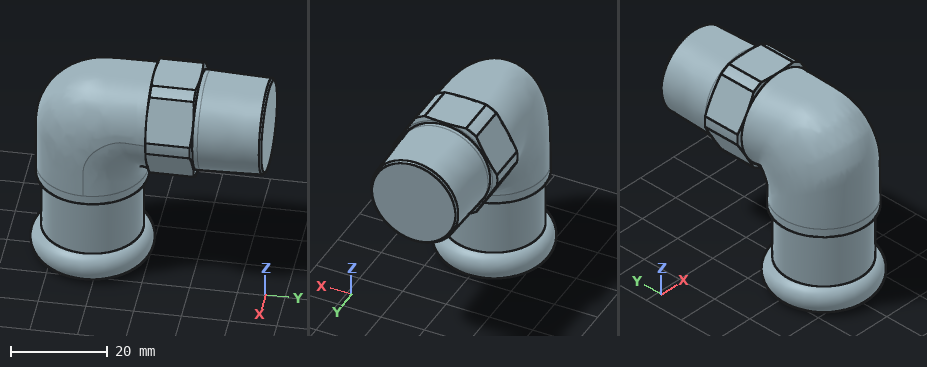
import cadquery as cq
import math


socket_radius = 21.3 / 2
bead_radius = 25.75 / 2
bead_height = 6.5
collar_radius = 23.5 / 2
collar_bottom = 19.95
collar_top = 22.0
neck_height = 0.65
neck_top_radius = 11.05

branch_height = 35.95
hex_across_flats = 22.0
hex_corner_diameter = 24.0
hex_start = 12.9
hex_end = 22.7
hex_chamfer_angle = 15.0
spigot_root_radius = 20.95 / 2
spigot_land_end = 23.75
spigot_end = 37.0
spigot_taper_per_length = 1 / 32
spigot_chamfer = 0.45

bend_outer_radius = 14.1
bend_waist_depth = 0.4
section_count = 19

hex_flat = hex_across_flats / 2
hex_corner_radius = hex_corner_diameter / 2
branch_top = branch_height + hex_flat
branch_bottom = branch_height - hex_flat


def revolve_about_branch(outline):
    """Turn an outline drawn as (radius, Y) about the branch axis."""
    return outline.close().revolve(360, (0, 0, 0), (0, 1, 0)).translate((0, 0, branch_height))


def make_socket():
    """Collar, conical neck, straight tube and rounded bead, in one revolved outline."""
    neck_bottom = collar_bottom - neck_height
    return (
        cq.Workplane("XZ")
        .lineTo(socket_radius, 0)
        .threePointArc((bead_radius, bead_height / 2), (socket_radius, bead_height))
        .lineTo(socket_radius, neck_bottom)
        .lineTo(neck_top_radius, collar_bottom)
        .lineTo(collar_radius, collar_bottom)
        .lineTo(collar_radius, collar_top)
        .lineTo(0, collar_top)
        .close()
        .revolve(360, (0, 0, 0), (0, 1, 0))
    )


def make_hexagon():
    """Hexagon with flats up and down, rounded corners and chamfered end faces."""
    across_corners = hex_across_flats / math.cos(math.pi / 6)
    prism = (
        cq.Workplane("XZ", origin=(0, hex_start, branch_height))
        .polygon(6, across_corners)
        .extrude(hex_start - hex_end)
    )
    chamfer_depth = (hex_corner_radius - hex_flat) * math.tan(math.radians(hex_chamfer_angle))
    envelope = revolve_about_branch(
        cq.Workplane("XY")
        .moveTo(0, hex_start)
        .lineTo(hex_flat, hex_start)
        .lineTo(hex_corner_radius, hex_start + chamfer_depth)
        .lineTo(hex_corner_radius, hex_end - chamfer_depth)
        .lineTo(hex_flat, hex_end)
        .lineTo(0, hex_end)
    )
    return prism.intersect(envelope)


def make_spigot():
    """Short straight land beside the hexagon, then a slightly tapered, chamfered spigot."""
    chamfer_start = spigot_end - spigot_chamfer
    tip_radius = spigot_root_radius - (chamfer_start - spigot_land_end) * spigot_taper_per_length
    return revolve_about_branch(
        cq.Workplane("XY")
        .moveTo(0, hex_end)
        .lineTo(spigot_root_radius, hex_end)
        .lineTo(spigot_root_radius, spigot_land_end)
        .lineTo(tip_radius, chamfer_start)
        .lineTo(tip_radius - spigot_chamfer, spigot_end)
        .lineTo(0, spigot_end)
    )


def bend_reach(angle):
    """Near and far distance of the bend from its pivot line.

    The pivot is where the planes of the hexagon face and the collar top meet.
    The angle runs from the hexagon face (0) to the collar top (90 degrees).
    """
    across = math.sin(angle)
    up = math.cos(angle)
    inner_gap = hex_start - collar_radius
    inner_rise = branch_bottom - collar_top
    near = inner_rise / up if inner_gap * up > inner_rise * across else inner_gap / across

    outer_width = hex_start + collar_radius
    outer_height = branch_top - collar_top
    arc_across = outer_width - bend_outer_radius
    arc_up = outer_height - bend_outer_radius
    along = arc_across * across + arc_up * up
    offset = arc_across * up - arc_up * across
    far = along + math.sqrt(max(bend_outer_radius**2 - offset**2, 0))
    if far * across < arc_across:
        far = outer_height / up
    if far * up < arc_up:
        far = outer_width / across
    return near, far


def bend_section(index):
    """Elliptical cross-section wire in a plane through the pivot line.

    The half width grows evenly from hexagon to collar, less a shallow waist in the first half.
    """
    share = index / (section_count - 1)
    angle = math.pi / 2 * share
    near, far = bend_reach(angle)
    middle = (near + far) / 2
    straight = hex_flat + (collar_radius - hex_flat) * share
    waist = bend_waist_depth * math.sin(2 * math.pi * share) ** 2 if share < 0.5 else 0
    side = straight - waist
    center = cq.Vector(0, hex_start - middle * math.sin(angle), collar_top + middle * math.cos(angle))
    normal = cq.Vector(0, math.cos(angle), math.sin(angle))
    plane = cq.Plane(origin=center, xDir=(1, 0, 0), normal=normal)
    return cq.Workplane(plane).ellipse(side, (far - near) / 2).wires().val()


def make_bend():
    """Smooth loft through the sections, from the hexagon face round to the collar."""
    sections = [bend_section(index) for index in range(section_count)]
    return cq.Workplane(obj=cq.Solid.makeLoft(sections, False))


result = make_socket().union(make_bend()).union(make_hexagon()).union(make_spigot())